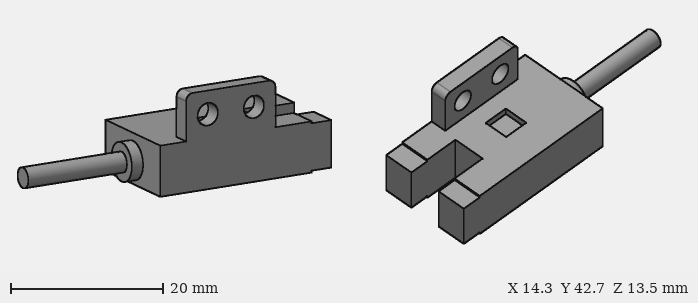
import cadquery as cq

total_length = 42.7
total_height = 13.5
body_width = 14.3
body_length = 26.0
body_height = 7.0

tip_length = 3.0
tip_step = 0.25
slot_width = 5.0
slot_depth = 8.25

recess_size = 3.75
recess_depth = 1.0
recess_setback = 15.15
recess_center_y = body_length - recess_setback

plate_thickness = 2.5
plate_length = 13.58
plate_height = total_height - body_height
plate_setback = 8.5
plate_radius = 1.0
plate_center_y = body_length - plate_setback - plate_length / 2
hole_diameter = 3.07
hole_spacing = 7.0
hole_height = body_height + plate_height / 2

cable_axis_z = 3.25
collar_diameter = 5.35
collar_length = 1.7
cable_diameter = 2.8
cable_length = total_length - body_length


def make_body():
    """Block with two stepped fork tips and a square recess."""
    main_length = body_length - tip_length
    main = cq.Workplane("XY").box(body_width, main_length, body_height, centered=(True, False, False))
    tip = (
        cq.Workplane("XY", origin=(0, main_length, tip_step))
        .box(body_width, tip_length, body_height - 2 * tip_step, centered=(True, False, False))
    )
    slot = (
        cq.Workplane("XY", origin=(0, body_length - slot_depth, 0))
        .box(slot_width, slot_depth, body_height, centered=(True, False, False))
    )
    recess = (
        cq.Workplane("XY", origin=(0, recess_center_y, body_height - recess_depth))
        .box(recess_size, recess_size, recess_depth, centered=(True, True, False))
    )
    return main.union(tip).cut(slot).cut(recess)


def make_plate():
    """Mounting plate with rounded upper corners and two through holes."""
    plate_center_x = (body_width - plate_thickness) / 2
    plate = (
        cq.Workplane("XY", origin=(plate_center_x, plate_center_y, body_height))
        .box(plate_thickness, plate_length, plate_height, centered=(True, True, False))
        .edges("|X and >Z")
        .fillet(plate_radius)
    )
    holes = (
        cq.Workplane("YZ", origin=(body_width / 2 - plate_thickness, plate_center_y, hole_height))
        .rarray(hole_spacing, 0.43, 2, 1)
        .circle(hole_diameter / 2)
        .extrude(plate_thickness)
    )
    return plate.cut(holes)


def make_rod(diameter, length):
    """Cylinder leaving the body along -Y on the cable axis."""
    return cq.Workplane("XZ", origin=(0, 0, cable_axis_z)).circle(diameter / 2).extrude(length)


result = (
    make_body()
    .union(make_plate())
    .union(make_rod(collar_diameter, collar_length))
    .union(make_rod(cable_diameter, cable_length))
)